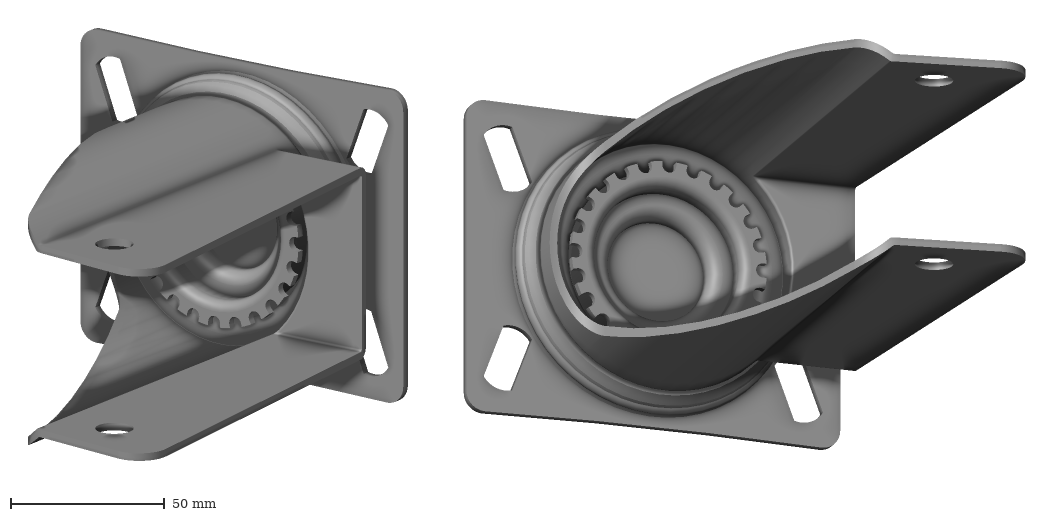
import cadquery as cq
import math


plate_face = -2.5
recess_face = -3.2
boss_face = -4.8
crown_top = -11.7

plate_length = 129.0
plate_width = 106.4
corner_radius = 6.4
edge_sag = 1.1
boss_radius = 47.9
boss_root_chamfer = 0.8
recess_radius = 40.0
slot_x = 50.2
slot_z = 34.0
slot_tilt = 20.9
slot_width = 10.5
slot_side_length = 19.2
slot_length = 22.8

ring_radius = 48.4
ring_bore = 38.5
ring_step_top = (47.0, -7.4)
ring_step_bottom = (46.5, -8.7)
ring_lip_radius = 43.9
ring_bulge = (48.2, -6.0)

sheet = 2.5
fork_radius = 43.1
arm_outer = 32.5
crown_corner = 2.7
web_top = -20.2
bend_inner = 0.8
bend_outer = bend_inner + sheet
junction_outer = 1.8
junction_inner = 1.0
junction_margin = 0.8
crown_bore = 32.0
crown_lip_radius = 4.8
crown_bottom = crown_top - sheet
envelope_reach = 96.2
envelope_depth = 168.3

nose_corner = (-31.5, -23.0)
heel_corner = (21.3, -154.3)
toe_corner = (76.0, -161.9)
web_corner = (62.2, web_top)
nose_radius = 15.5
heel_radius = 15.2
toe_radius = 10.0
axle_x = 47.6
axle_y = -140.0
axle_diameter = 12.5

hub_radius = 28.8
flange_radius = 33.7
flange_face = -18.0
flange_thickness = 2.5
hub_bore = 25.0
hub_mouth_radius = 3.4
hub_step = -9.6
hub_inner_bore = 17.0
hub_inner_radius = 4.5
notch_count = 24
notch_width = 4.8
notch_bottom = 30.0


def revolved(profile):
    """Turn an (r, y) profile about the swivel axis."""
    return profile.close().revolve(360, (0, 0, 0), (0, 1, 0))


def disc(radius, top, bottom):
    """Solid disc on the swivel axis between two Y levels, with its seam on the -X side."""
    plane = cq.Plane(origin=(0, top, 0), xDir=(-1, 0, 0), normal=(0, -1, 0))
    return cq.Workplane(plane).circle(radius).extrude(top - bottom)


def make_slots():
    half_width = slot_width / 2
    half_side = slot_side_length / 2
    slots = cq.Workplane("XZ")
    for side_x in (-1, 1):
        for side_z in (-1, 1):
            slot = (
                cq.Workplane("XZ")
                .moveTo(-half_width, -half_side)
                .lineTo(-half_width, half_side)
                .threePointArc((0, slot_length / 2), (half_width, half_side))
                .lineTo(half_width, -half_side)
                .threePointArc((0, -slot_length / 2), (-half_width, -half_side))
                .close()
                .extrude(-plate_face)
                .rotate((0, 0, 0), (0, 1, 0), side_x * side_z * slot_tilt)
                .translate((side_x * slot_x, 0, side_z * slot_z))
            )
            slots = slots.add(slot)
    return slots.combine()


def make_plate():
    half_length = plate_length / 2
    half_width = plate_width / 2
    plate = (
        cq.Workplane("XZ")
        .moveTo(-half_length, -half_width)
        .threePointArc((0, edge_sag - half_width), (half_length, -half_width))
        .lineTo(half_length, half_width)
        .threePointArc((0, half_width - edge_sag), (-half_length, half_width))
        .close()
        .extrude(-plate_face)
        .edges("|Y")
        .fillet(corner_radius)
    )
    boss = revolved(
        cq.Workplane("XY")
        .moveTo(0, plate_face)
        .lineTo(boss_radius + boss_root_chamfer, plate_face)
        .lineTo(boss_radius, plate_face - boss_root_chamfer)
        .lineTo(boss_radius, boss_face)
        .lineTo(recess_radius, boss_face)
        .lineTo(recess_radius, recess_face)
        .lineTo(0, recess_face)
    )
    return plate.union(boss).cut(make_slots())


def make_ring():
    return revolved(
        cq.Workplane("XY")
        .moveTo(ring_bore, boss_face)
        .lineTo(ring_radius, boss_face)
        .threePointArc(ring_bulge, ring_step_top)
        .lineTo(*ring_step_bottom)
        .lineTo(ring_lip_radius, crown_top)
        .lineTo(ring_bore, crown_top)
    )


def fork_envelope(radius, half_width, top, box_top, corner, bend, junction):
    """Round column joined to a straight channel that runs towards +X."""
    column = disc(radius, top, -envelope_depth).faces(">Y").edges().fillet(corner)
    channel = (
        cq.Workplane("XY")
        .box(envelope_reach, envelope_depth + box_top, 2 * half_width, centered=(False, False, True))
        .translate((0, -envelope_depth, 0))
        .faces(">Y")
        .edges("|X")
        .fillet(bend)
    )
    body = column.union(channel)
    meet_x = math.sqrt(radius**2 - half_width**2)
    junction_box = cq.selectors.BoxSelector(
        (meet_x - junction_margin, -envelope_depth + junction_margin, -half_width - junction_margin),
        (radius + junction_margin, box_top + junction_margin, half_width + junction_margin),
    )
    return body.edges(junction_box).fillet(junction)


def fork_outline():
    """Prism with the side outline of the fork, rounded at its nose, heel and toe."""
    prism = (
        cq.Workplane("XY")
        .moveTo(-envelope_reach, nose_corner[1])
        .lineTo(*nose_corner)
        .lineTo(*heel_corner)
        .lineTo(*toe_corner)
        .lineTo(*web_corner)
        .lineTo(web_corner[0], 0)
        .lineTo(-envelope_reach, 0)
        .close()
        .extrude(fork_radius, both=True)
    )
    roundings = ((nose_corner, nose_radius), (heel_corner, heel_radius), (toe_corner, toe_radius))
    for corner, radius in roundings:
        nearest = cq.selectors.NearestToPointSelector((corner[0], corner[1], 0))
        prism = prism.edges("|Z").edges(nearest).fillet(radius)
    return prism


def crown_lip():
    """Edge of the crown bore, rolled towards the plate."""
    outer_roll = crown_lip_radius
    inner_roll = crown_lip_radius - sheet
    centre_r = crown_bore + outer_roll
    centre_y = crown_bottom + outer_roll
    diagonal = math.sqrt(0.5)
    return revolved(
        cq.Workplane("XY")
        .moveTo(centre_r, crown_bottom)
        .threePointArc(
            (centre_r - outer_roll * diagonal, centre_y - outer_roll * diagonal),
            (crown_bore, centre_y),
        )
        .lineTo(crown_bore + sheet, centre_y)
        .threePointArc(
            (centre_r - inner_roll * diagonal, centre_y - inner_roll * diagonal),
            (centre_r, crown_top),
        )
    )


def make_fork():
    outside = fork_envelope(
        fork_radius,
        arm_outer,
        crown_top,
        web_top,
        crown_corner,
        bend_outer,
        junction_outer,
    )
    cavity = fork_envelope(
        fork_radius - sheet,
        arm_outer - sheet,
        crown_bottom,
        web_top - sheet,
        crown_corner - sheet,
        bend_inner,
        junction_inner,
    )
    crown_opening = disc(crown_bore + crown_lip_radius, crown_top, crown_bottom)
    axle_hole = (
        cq.Workplane("XY")
        .center(axle_x, axle_y)
        .circle(axle_diameter / 2)
        .extrude(fork_radius, both=True)
    )
    shell = outside.cut(cavity).intersect(fork_outline())
    return shell.cut(crown_opening).union(crown_lip()).cut(axle_hole)


def make_hub():
    arc_middle = 1 - math.sqrt(0.5)
    mouth = hub_bore + hub_mouth_radius
    inner_mouth = hub_inner_bore + hub_inner_radius
    hub = revolved(
        cq.Workplane("XY")
        .moveTo(hub_inner_bore, recess_face)
        .lineTo(hub_radius, recess_face)
        .lineTo(hub_radius, flange_face + flange_thickness)
        .lineTo(flange_radius, flange_face + flange_thickness)
        .lineTo(flange_radius, flange_face)
        .lineTo(mouth, flange_face)
        .threePointArc(
            (hub_bore + hub_mouth_radius * arc_middle, flange_face + hub_mouth_radius * arc_middle),
            (hub_bore, flange_face + hub_mouth_radius),
        )
        .lineTo(hub_bore, hub_step)
        .lineTo(inner_mouth, hub_step)
        .threePointArc(
            (hub_inner_bore + hub_inner_radius * arc_middle, hub_step + hub_inner_radius * arc_middle),
            (hub_inner_bore, hub_step + hub_inner_radius),
        )
    )
    notch_reach = 2 * (flange_radius - notch_bottom)
    notches = (
        cq.Workplane("XZ", origin=(0, flange_face + flange_thickness, 0))
        .polarArray(notch_bottom + notch_reach, 0, 360, notch_count)
        .slot2D(2 * notch_reach, notch_width)
        .extrude(flange_thickness)
    )
    return hub.cut(notches)


plate = make_plate()
ring = make_ring()
fork = make_fork()
hub = make_hub()

result = cq.Compound.makeCompound([plate.val(), ring.val(), fork.val(), hub.val()])